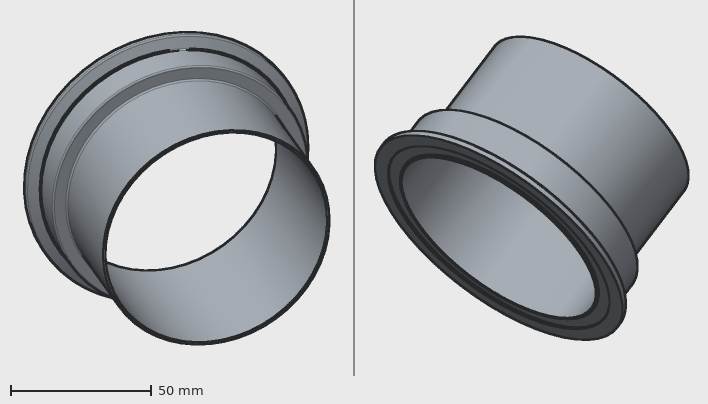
import cadquery as cq
import math

length = 58.5
flange_radius = 53.0
sleeve_radius = 48.0
tube_radius = 42.5
bore_radius = 41.5

flange_edge_width = 2.4
taper_angle = 20.0
flange_edge_fillet = 0.7
taper_root_fillet = 0.6
taper_end = flange_edge_width + (flange_radius - sleeve_radius) * math.tan(math.radians(taper_angle))

sleeve_end = 17.7
sleeve_end_fillet = 0.6

recess_outer_radius = 47.4
recess_inner_radius = 42.3
recess_depth = 0.8


def fillet_circles(body, x, radius, fillet):
    """Round every circular edge at position x, up to and including the given radius."""
    margin = 0.05
    selection = cq.selectors.BoxSelector(
        (x - margin, -radius - margin, -radius - margin),
        (x + margin, radius + margin, radius + margin),
        boundingbox=True,
    )
    return body.edges(selection).edges("%CIRCLE").fillet(fillet)


def make_body():
    """Revolve the stepped wall and round its outside corners."""
    body = (
        cq.Workplane("XZ")
        .moveTo(0, bore_radius)
        .lineTo(0, flange_radius)
        .lineTo(flange_edge_width, flange_radius)
        .lineTo(taper_end, sleeve_radius)
        .lineTo(sleeve_end, sleeve_radius)
        .lineTo(sleeve_end, tube_radius)
        .lineTo(length, tube_radius)
        .lineTo(length, bore_radius)
        .close()
        .revolve(360, (0, 0, 0), (1, 0, 0))
    )
    body = fillet_circles(body, flange_edge_width, flange_radius, flange_edge_fillet)
    body = fillet_circles(body, taper_end, sleeve_radius, taper_root_fillet)
    return fillet_circles(body, sleeve_end, sleeve_radius, sleeve_end_fillet)


def make_recess():
    """Ring removed from the flange face."""
    return (
        cq.Workplane("YZ")
        .circle(recess_outer_radius)
        .circle(recess_inner_radius)
        .extrude(recess_depth)
    )


result = make_body().cut(make_recess())